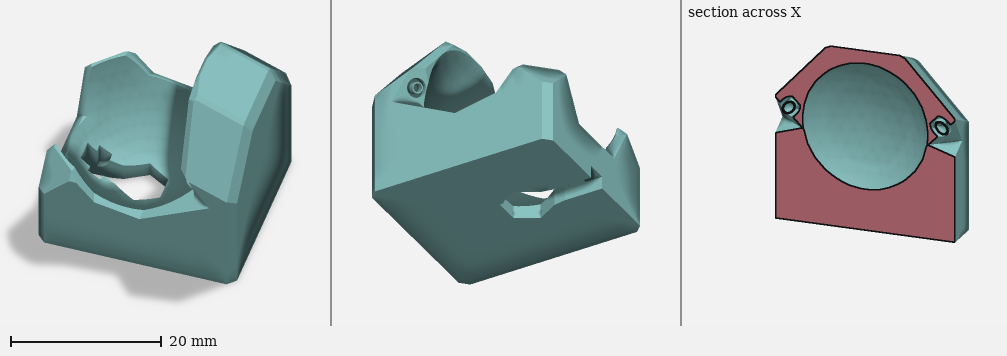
import cadquery as cq
import math

length = 27.65
width = 25.55
height = 26.42
half_width = width / 2
corner_chamfer = 1.1
far = 41.45

ball_radius = 13.1
ball_center = (11.83, 0, 14.73)

base_height = 13.6
post_rim_chamfer = 1.02
post_bevel_height = 9.12
post_zone_length = 11.05

notch_flare = 30.0
notch_outer_half = 4.7
notch_outer_z = 6.65
notch_inner_half = 4.17
notch_inner_z = 7.63
notch_chamfer_depth = 1.05
notch_depth = 2.2

hood_slope = 23.0
hood_flat_half = 4.9
hood_band_half = 5.67
hood_band_drop = 0.33
hood_eave_drop = 8.0
hood_tip_x = 19.2
hood_start_x = 11.05

slot_half = 1.5
slot_height = 1.88
opening_start_x = 2.55
flare_start_x = 5.7
hex_radius = 3.6
hex_center_x = 10.59
pocket_start_x = 3.87
pocket_half = 2.5
pocket_floor_diameter = 4.2
pocket_floor_x = 3.57
pocket_floor_z = 3.6

stud_place = (21.23, 11.03, 15.78)
stud_recess_diameter = 2.65
stud_recess_depth = 1.38
stud_diameter = 1.52
stud_bore_diameter = 1.2
stud_protrusion = 0.5
stud_bore_depth = 1.65



def plane_normal(points, toward):
    """Unit normal of the plane through three points, on the 'toward' side."""
    a, b, c = (cq.Vector(*p) for p in points)
    normal = (b - a).cross(c - a).normalized()
    return normal if normal.dot(cq.Vector(*toward)) > 0 else normal * -1


def beyond(points, toward):
    """Large block filling the 'toward' side of the plane through three points."""
    normal = plane_normal(points, toward)
    plane = cq.Plane(origin=points[0], normal=normal.toTuple())
    return cq.Workplane(plane).rect(4 * far, 4 * far).extrude(2 * far)


def mirrored(point):
    """The matching point on the other side of Y = 0."""
    x, y, z = point
    return (x, -y, z)


def both_sides(body):
    """The body together with its mirror image across Y = 0."""
    return body.union(body.mirror("XZ"))


def block(x0, x1, y0, y1, z0, z1):
    """Axis-aligned box between the given limits."""
    box = cq.Workplane("XY").box(x1 - x0, y1 - y0, z1 - z0, centered=False)
    return box.translate((x0, y0, z0))


up = (0, 0, 1)
forward = (-1, 0, 0)



def make_base():
    base = block(0, length, -half_width, half_width, 0, base_height)
    base = base.edges("|Z").chamfer(corner_chamfer)

    rim_z = base_height - post_rim_chamfer
    front_rim = [(0, 0, rim_z), (0, 0.28, rim_z), (post_rim_chamfer, 0, base_height)]
    base = base.cut(beyond(front_rim, up))

    side_rim = [
        (0, half_width, rim_z),
        (0.28, half_width, rim_z),
        (0, half_width - post_rim_chamfer, base_height),
    ]
    post_zone = block(0, post_zone_length, 0, far, 0, far)
    base = base.cut(both_sides(beyond(side_rim, up).intersect(post_zone)))

    bevel = [
        (0, half_width - corner_chamfer, post_bevel_height),
        (corner_chamfer, half_width, post_bevel_height),
        (corner_chamfer, half_width - corner_chamfer, post_bevel_height + corner_chamfer),
    ]
    return base.cut(both_sides(beyond(bevel, up).intersect(post_zone)))


window_post = (5.55, half_width, 12.58)
window_front = (8.1, half_width, 9.7)
window_low = (14.37, half_width, 8.49)
window_rear = (24.07, half_width, 13.5)
window_post_inner = (4.73, 11.7, base_height)
window_low_inner = (14.5, 11.5, 8.95)
window_rear_inner = (21.4, 8.98, 13.4)
window_inner_y = 5.53


def make_side_window():
    window = block(0, far, window_inner_y, far, 0, far)
    window = window.intersect(beyond([window_post, window_front, window_post_inner], up))
    window = window.intersect(beyond([window_front, window_low, window_low_inner], up))
    return window.intersect(beyond([window_low, window_rear, window_low_inner], up))


def notch_outline(bottom_half, bottom_z):
    top_half = bottom_half + (base_height - bottom_z) * math.tan(math.radians(notch_flare))
    return [
        (-bottom_half, bottom_z),
        (bottom_half, bottom_z),
        (top_half, base_height),
        (-top_half, base_height),
    ]


def make_front_notch():
    outer = notch_outline(notch_outer_half, notch_outer_z)
    inner = notch_outline(notch_inner_half, notch_inner_z)
    mouth = (
        cq.Workplane("YZ").polyline(outer).close()
        .workplane(offset=notch_chamfer_depth).polyline(inner).close()
        .loft(ruled=True)
    )
    throat = cq.Workplane("YZ").polyline(inner).close().extrude(notch_depth)
    return mouth.union(throat)



rim_upper = (18.85, 5.28, 25.24)
rim_lower = (19.73, 11.58, 17.88)
rim_lower_outer = (20.7, 12.7, 17.8)
rim_tip_inner = (18.7, 1.93, 25.98)
rim_tip_outer = (hood_tip_x, 1.6, height)
eave_front = (21.3, half_width, 17.39)
underside = [window_rear, eave_front, window_rear_inner]


def make_hood():
    ridge_z = height + (hood_tip_x - hood_start_x) * math.tan(math.radians(hood_slope))
    roof_half = [
        (hood_flat_half, ridge_z),
        (hood_band_half, ridge_z - hood_band_drop),
        (half_width, ridge_z - hood_eave_drop),
        (half_width, -far),
    ]
    section = roof_half + [(-y, z) for y, z in reversed(roof_half)]
    outline = cq.Workplane("YZ", origin=(hood_start_x, 0, 0)).polyline(section).close().wire().val()
    fall = cq.Vector(length, 0, -length * math.tan(math.radians(hood_slope)))
    roof = cq.Workplane(cq.Solid.extrudeLinear(outline, [], fall))
    hood = roof.intersect(block(hood_start_x, length, -far, far, 0, far))
    hood = hood.faces(">X").edges("not(<Z)").chamfer(corner_chamfer)

    front_face = [rim_upper, mirrored(rim_upper), rim_lower]
    tip_facet = [rim_tip_inner, mirrored(rim_tip_inner), rim_tip_outer]
    for facet in (front_face, tip_facet):
        hood = hood.cut(beyond(facet, forward))
    side_facets = [
        [rim_upper, rim_lower, rim_lower_outer],
        [rim_upper, rim_tip_inner, rim_tip_outer],
        underside,
    ]
    for facet in side_facets:
        trim = beyond(facet, forward)
        hood = hood.cut(trim).cut(trim.mirror("XZ"))
    return hood




def make_floor_opening():
    slot = block(0, opening_start_x, -slot_half, slot_half, 0, slot_height)
    hex_left = hex_center_x - hex_radius * math.cos(math.radians(30))
    hex_left_half = hex_radius / 2
    opening = (
        cq.Workplane("XY")
        .moveTo(opening_start_x, -slot_half)
        .lineTo(flare_start_x, -slot_half)
        .lineTo(hex_left, -hex_left_half)
        .lineTo(hex_left, hex_left_half)
        .lineTo(flare_start_x, slot_half)
        .lineTo(opening_start_x, slot_half)
        .close()
        .extrude(base_height)
    )
    hexagon = (
        cq.Workplane("XY").center(hex_center_x, 0).transformed(rotate=(0, 0, 90))
        .polygon(6, 2 * hex_radius).extrude(base_height)
    )
    pocket = (
        cq.Workplane("XZ", origin=(pocket_floor_x, 0, pocket_floor_z))
        .circle(pocket_floor_diameter / 2).extrude(pocket_half, both=True)
        .intersect(block(pocket_start_x, length, -pocket_half, pocket_half, 0, height))
    )
    return slot.union(opening).union(hexagon).union(pocket)




stud_plane = cq.Plane(origin=stud_place, normal=plane_normal(underside, forward).toTuple())


def stud_cylinder(diameter, start, end):
    """Cylinder on the stud axis, between two distances out of the hood underside."""
    return cq.Workplane(stud_plane).workplane(offset=start).circle(diameter / 2).extrude(end - start)



base = make_base().cut(both_sides(make_side_window())).cut(make_front_notch())
ball = cq.Workplane("XY").sphere(ball_radius).translate(ball_center)
shell = base.union(make_hood()).cut(ball).cut(make_floor_opening())

stud_recess = stud_cylinder(stud_recess_diameter, -stud_recess_depth, stud_protrusion)
stud = stud_cylinder(stud_diameter, -stud_recess_depth, stud_protrusion)
stud_bore = stud_cylinder(stud_bore_diameter, stud_protrusion - stud_bore_depth, stud_protrusion)
shell = shell.cut(both_sides(stud_recess))
result = shell.union(both_sides(stud)).cut(both_sides(stud_bore))